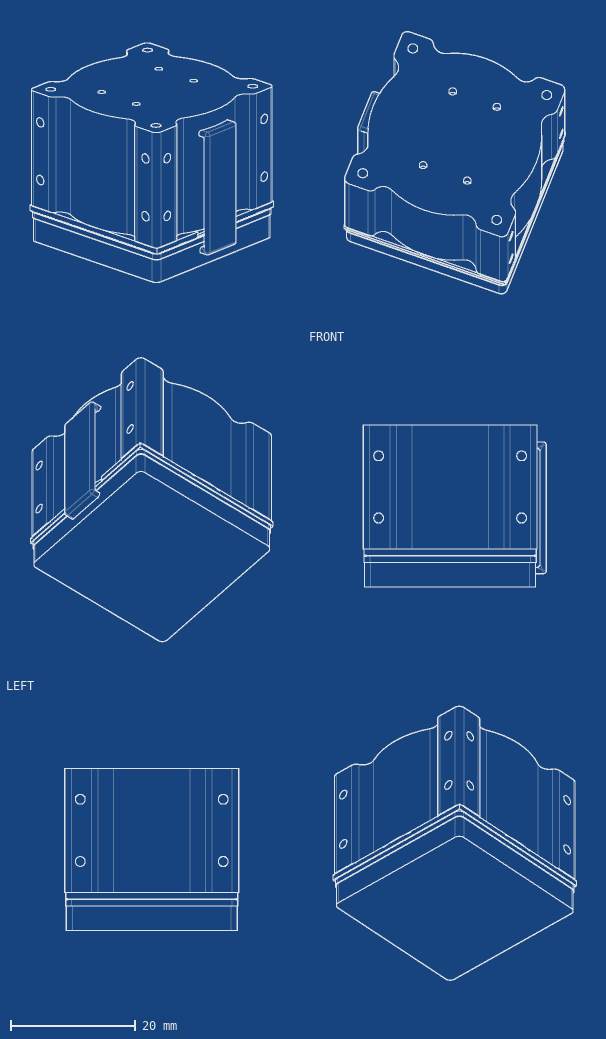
import cadquery as cq
import math

housing_width = 28.0
housing_height = 20.0
housing_corner_radius = 1.05
flange_width = 27.74
flange_height = 1.0
flange_notch_width = 8.25
flange_notch_depth = 1.0

flute_radius = 1.9
flute_center_offset = 6.98
post_edge_radius = 1.15

screw_hole_diameter = 1.57
screw_hole_offset = 11.5
top_screw_depth = 5.0
side_screw_depth = 5.0
side_screw_drops = (5.0, 15.0)
drill_point_angle = 118.0
pilot_hole_diameter = 1.22
pilot_hole_depth = 2.0
pilot_spacing_x = 7.6
pilot_spacing_y = 13.6
pilot_center_x = -0.9

cover_width = 27.55
cover_height = 4.0
cover_corner_radius = 1.0
lip_width = 27.74
lip_height = 1.0
lip_corner_radius = 0.97
seat_width = 27.0
seat_height = 0.13

cable_width = 7.1
cable_thickness = 1.05
cable_inner_bend_radius = 0.5
cable_outer_x = 15.5
cable_end_x = 13.0
cable_bottom_z = 2.15
cable_top_drop = 2.75

flange_bottom_z = cover_height + lip_height + seat_height
housing_bottom_z = flange_bottom_z + flange_height
housing_top_z = housing_bottom_z + housing_height
cable_top_z = housing_top_z - cable_top_drop
half_width = housing_width / 2
motor_radius = half_width


def rounded_block(width, height, corner_radius, bottom_z):
    """Square block on the Z axis with rounded vertical corners."""
    block = cq.Workplane("XY").workplane(offset=bottom_z).rect(width, width).extrude(height)
    return block.edges("|Z").fillet(corner_radius)


def toward(start, end, distance):
    """Point at a distance from start on the ray through end."""
    scale = distance / math.dist(start, end)
    return (start[0] + (end[0] - start[0]) * scale, start[1] + (end[1] - start[1]) * scale)


def arc_middle(center, start, end):
    """Middle of the shorter arc from start to end around center."""
    chord_middle = ((start[0] + end[0]) / 2, (start[1] + end[1]) / 2)
    return toward(center, chord_middle, math.dist(center, start))


def side_arcs():
    """Start point of the +Y side and the (middle, end) points of its arcs, from left to right.

    Each flute is tangent to the motor wall and to the rounded edge of its corner post.
    """
    axis = (0, 0)
    flute_y = math.sqrt((motor_radius + flute_radius) ** 2 - flute_center_offset**2)
    edge_y = half_width - post_edge_radius
    edge_offset = math.sqrt((flute_radius + post_edge_radius) ** 2 - (flute_y - edge_y) ** 2)
    flute = (flute_center_offset, flute_y)
    edge = (flute_center_offset + edge_offset, edge_y)

    post_start = (edge[0], half_width)
    edge_to_flute = toward(edge, flute, post_edge_radius)
    flute_to_wall = toward(axis, flute, motor_radius)
    edge_middle = arc_middle(edge, post_start, edge_to_flute)
    flute_middle = arc_middle(flute, edge_to_flute, flute_to_wall)

    right_half = [flute_to_wall, flute_middle, edge_to_flute, edge_middle, post_start]
    left_half = [(-x, y) for x, y in reversed(right_half)]
    points = left_half + [(0, motor_radius)] + right_half
    return points[0], list(zip(points[1::2], points[2::2]))


def quarter_turned(point, quarter):
    """Point turned clockwise about the motor axis by a number of quarter turns."""
    x, y = point
    for _ in range(quarter):
        x, y = y, -x
    return (x, y)


def housing_profile():
    """Closed outline of the motor wall, flutes and corner posts."""
    start, arcs = side_arcs()
    corner_line = half_width - housing_corner_radius
    corner_center = (corner_line, corner_line)
    corner_start = (corner_line, half_width)
    corner_end = (half_width, corner_line)
    corner_middle = arc_middle(corner_center, corner_start, corner_end)

    outline = cq.Workplane("XY").workplane(offset=housing_bottom_z).moveTo(*start)
    for quarter in range(4):
        for middle, end in arcs:
            outline = outline.threePointArc(quarter_turned(middle, quarter), quarter_turned(end, quarter))
        outline = outline.lineTo(*quarter_turned(corner_start, quarter))
        outline = outline.threePointArc(
            quarter_turned(corner_middle, quarter), quarter_turned(corner_end, quarter)
        )
        if quarter < 3:
            outline = outline.lineTo(*quarter_turned(start, quarter + 1))
    return outline.close()


def drill(face_center, direction, depth):
    """Drilled screw hole with a conical point, going from face_center along direction."""
    radius = screw_hole_diameter / 2
    point_height = radius / math.tan(math.radians(drill_point_angle / 2))
    start = cq.Vector(*face_center)
    axis = cq.Vector(*direction)
    shank = cq.Solid.makeCylinder(radius, depth, start, axis)
    point = cq.Solid.makeCone(radius, 0, point_height, start + axis * depth, axis)
    return shank.fuse(point)


def side_drills():
    """Screw holes in the corner posts, from the -X, +X and -Y sides."""
    drills = []
    for drop in side_screw_drops:
        z = housing_top_z - drop
        for offset in (-screw_hole_offset, screw_hole_offset):
            drills.append(drill((-half_width, offset, z), (1, 0, 0), side_screw_depth))
            drills.append(drill((half_width, offset, z), (-1, 0, 0), side_screw_depth))
            drills.append(drill((offset, -half_width, z), (0, 1, 0), side_screw_depth))
    return drills


def top_holes():
    """Flat-bottomed screw holes of the four posts and the four pilot holes of the top face."""
    top = cq.Workplane("XY").workplane(offset=housing_top_z)
    screws = top.rect(2 * screw_hole_offset, 2 * screw_hole_offset, forConstruction=True)
    screws = screws.vertices().circle(screw_hole_diameter / 2).extrude(-top_screw_depth)
    pilots = top.center(pilot_center_x, 0).rect(pilot_spacing_x, pilot_spacing_y, forConstruction=True)
    pilots = pilots.vertices().circle(pilot_hole_diameter / 2).extrude(-pilot_hole_depth)
    return screws.add(pilots).combine()


def flange():
    """Square flange with a notch in its +X edge behind the cable."""
    base = cq.Workplane("XY").workplane(offset=flange_bottom_z)
    plate = base.rect(flange_width, flange_width).extrude(flange_height)
    notch = base.center(flange_width / 2, 0).rect(2 * flange_notch_depth, flange_notch_width)
    return plate.cut(notch.extrude(flange_height))


def make_housing():
    body = housing_profile().extrude(housing_height).union(flange())
    body = body.cut(top_holes())
    for hole in side_drills():
        body = body.cut(cq.Workplane(obj=hole))
    return body


def make_cover():
    box = rounded_block(cover_width, cover_height, cover_corner_radius, 0)
    lip = rounded_block(lip_width, lip_height, lip_corner_radius, cover_height)
    seat = rounded_block(seat_width, seat_height, lip_corner_radius, cover_height + lip_height)
    return box.union(lip).union(seat)


def make_cable():
    """C-shaped flat strip with half-round edges, its two ends running in the -X direction."""
    half_thickness = cable_thickness / 2
    middle_x = cable_outer_x - half_thickness
    low_z = cable_bottom_z + half_thickness
    high_z = cable_top_z - half_thickness
    path = cq.Workplane("XZ").polyline(
        [(cable_end_x, low_z), (middle_x, low_z), (middle_x, high_z), (cable_end_x, high_z)]
    )
    section = cq.Workplane("YZ", origin=(cable_end_x, 0, low_z)).slot2D(cable_width, cable_thickness)
    strip = section.sweep(path, transition="round")
    inner_x = cable_outer_x - cable_thickness
    inner_lines = cq.selectors.BoxSelector(
        (inner_x - half_thickness, -cable_width, low_z),
        (inner_x + half_thickness / 2, cable_width, high_z),
    )
    inner_bends = strip.edges("%ELLIPSE or |Y").edges(inner_lines)
    return inner_bends.fillet(cable_inner_bend_radius)


cable = make_cable()
housing = make_housing().cut(cable)
cover = make_cover().cut(cable)

result = cq.Compound.makeCompound([housing.val(), cover.val(), cable.val()])